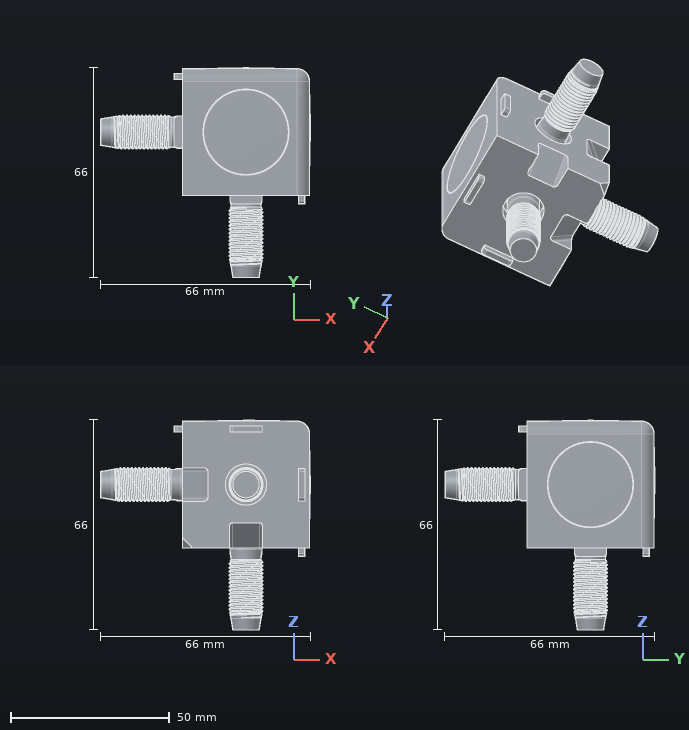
import cadquery as cq
import math


cube_size = 40.0
cube_middle = cube_size / 2
outer_fillet = 4.0
corner_cut = 3.3

tab_length = 10.2
tab_width = 2.0
tab_height = 2.6
tab_inset = 1.5
tab_fillet = 1.0
slot_length = 10.5
slot_reach = 8.0
slot_fillet = 1.0

recess_radius = 13.55
cap_gap = 0.2
cap_radius = recess_radius - cap_gap
cap_depth = 2.0
dome_rise = 0.25
dome_radius = (cap_radius**2 + dome_rise**2) / (2 * dome_rise)

stud_length = 25.75
clearance_radius = 6.5
clearance_depth = 6.0
seat_depth = 10.0
collar_radius = 5.1
collar_end = 0.1
neck_radius = 5.0
neck_start = 0.4
core_radius = 4.75
tip_radius = 4.15
tip_length = 3.55

thread_radius = 5.35
groove_radius = 4.8
thread_pitch = 1.2
groove_root_width = 0.1
groove_top_width = 1.05
groove_clearance = 0.05
thread_start = 3.55
thread_end = stud_length - tip_length
groove_end = thread_end + thread_pitch / 2
groove_turns = int((groove_end - thread_start) / thread_pitch)
lead_in_length = 1.0
lead_out_length = 2.8

places = 3


def three_ways(body):
    """Return the body in its three places about the cube diagonal."""
    return [body.rotate(cq.Vector(0, 0, 0), cq.Vector(1, 1, 1), turn * 360 / places) for turn in range(places)]


def rounded_cube():
    """Cube with the three edges of its far corner rounded and its near corner cut off."""
    cube = cq.Workplane("XY").box(cube_size, cube_size, cube_size, centered=False)
    far_edges = cube.edges("(>X and >Y) or (>X and >Z) or (>Y and >Z)")
    cube = far_edges.fillet(outer_fillet)
    triangle = cq.Wire.makePolygon([(corner_cut, 0, 0), (0, corner_cut, 0), (0, 0, corner_cut)], close=True)
    outward = cq.Vector(-corner_cut, -corner_cut, -corner_cut)
    return cube.val().cut(cq.Solid.extrudeLinear(triangle, [], outward))


def edge_slot():
    """Cutter across the vertical edge at the origin, with a back wall at 45 degrees."""
    wall_distance = slot_reach / math.sqrt(2)
    return (
        cq.Workplane("XY")
        .box(2 * wall_distance, 4 * wall_distance, slot_length)
        .edges(">X and |Y")
        .fillet(slot_fillet)
        .rotate((0, 0, 0), (0, 0, 1), 45)
        .translate((0, 0, cube_middle))
        .val()
    )


def tab():
    """Tab under the bottom face, beside its +X edge, with two rounded outer ends."""
    return (
        cq.Workplane("XY")
        .box(tab_width, tab_length, tab_height)
        .edges("<Z and |X")
        .fillet(tab_fillet)
        .translate((cube_size - tab_inset - tab_width / 2, cube_middle, -tab_height / 2))
        .val()
    )


def second_tab():
    """Matching tab under the bottom face, beside its +Y edge."""
    middle = cq.Vector(cube_middle, cube_middle, 0)
    return tab().rotate(middle, middle + cq.Vector(0, 0, 0.65), 90)


def bottom_cylinder(radius, depth):
    """Upright cylinder that starts on the bottom face and goes into the housing."""
    return cq.Solid.makeCylinder(radius, depth, cq.Vector(cube_middle, cube_middle, 0))


def cap_recess():
    """Shallow round pocket in the top face."""
    floor = cq.Vector(cube_middle, cube_middle, cube_size - cap_depth)
    return cq.Solid.makeCylinder(recess_radius, cap_depth, floor)


def make_housing():
    """Cube with its tabs, edge slots, cap recesses and stepped stud holes."""
    tabs = three_ways(tab()) + three_ways(second_tab())
    cutters = three_ways(edge_slot())
    cutters += three_ways(cap_recess())
    cutters += three_ways(bottom_cylinder(clearance_radius, clearance_depth))
    cutters += three_ways(bottom_cylinder(collar_radius, seat_depth))
    return rounded_cube().fuse(*tabs).cut(*cutters).Solids()[0]


def make_cap():
    """Disc in the top recess whose upper face is a shallow dome."""
    return (
        cq.Workplane("XZ")
        .lineTo(cap_radius, 0)
        .lineTo(cap_radius, cap_depth)
        .radiusArc((0, cap_depth + dome_rise), -dome_radius)
        .close()
        .revolve(360, (0, 0, 0), (0, 1, 0))
        .translate((cube_middle, cube_middle, cube_size - cap_depth))
        .val()
    )


def turned(profile):
    """Revolve (radius, height) points about the Z axis."""
    return cq.Workplane("XZ").polyline(profile).close().revolve(360, (0, 0, 0), (0, 1, 0)).val()


def groove_turn():
    """One turn of the helical cutter, slightly outside the core, that leaves the thread standing."""
    outer_radius = thread_radius + groove_clearance
    flank_slope = (groove_top_width - groove_root_width) / (thread_radius - groove_radius)
    outer_width = groove_top_width + flank_slope * groove_clearance
    helix = cq.Wire.makeHelix(thread_pitch, thread_pitch, groove_radius)
    return (
        cq.Workplane("XZ")
        .polyline(
            [
                (groove_radius, -groove_root_width / 2),
                (outer_radius, -outer_width / 2),
                (outer_radius, outer_width / 2),
                (groove_radius, groove_root_width / 2),
            ]
        )
        .close()
        .sweep(cq.Workplane(helix), isFrenet=True)
        .translate((0, 0, -groove_end))
        .val()
    )


def make_stud():
    """Stud seated in the bottom face and pointing down, with a thread that fades out at both ends."""
    blank = turned(
        [
            (0, seat_depth),
            (collar_radius, seat_depth),
            (collar_radius, collar_end),
            (neck_radius, -neck_start),
            (core_radius, -thread_start),
            (thread_radius, -thread_start - lead_in_length),
            (thread_radius, lead_out_length - thread_end),
            (core_radius, -thread_end),
            (tip_radius, -stud_length),
            (0, -stud_length),
        ]
    )
    stud = blank
    groove = groove_turn()
    for turn in range(groove_turns):
        stud = stud.cut(groove.translate(cq.Vector(0, 0, turn * thread_pitch)))
    return stud.translate(cq.Vector(cube_middle, cube_middle, 0)).Solids()[0]


housing = make_housing()
caps = three_ways(make_cap())
studs = three_ways(make_stud())
result = cq.Compound.makeCompound([housing, *caps, *studs])